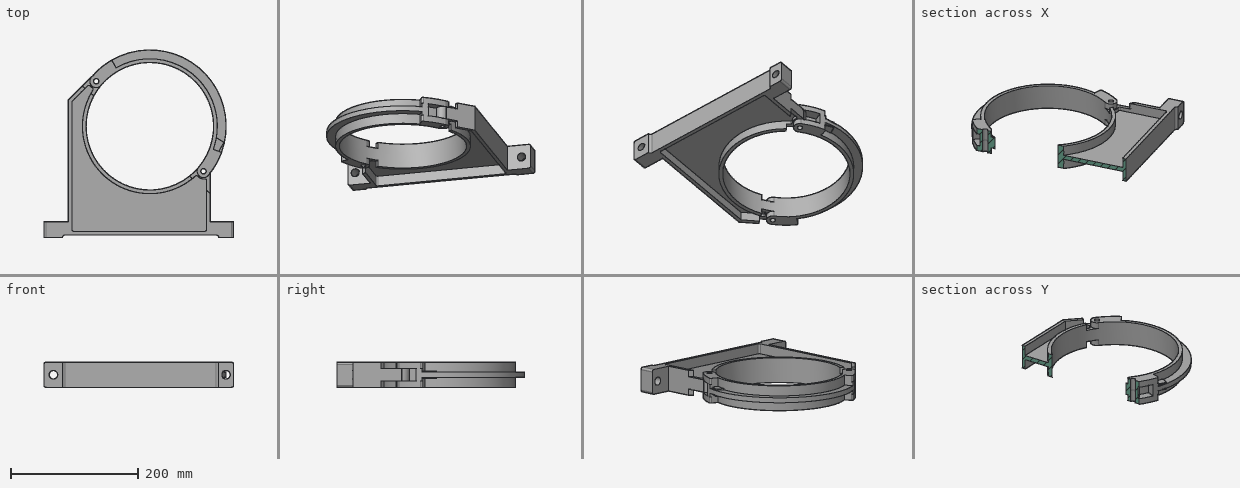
import math

import cadquery as cq


THICKNESS = 40.0
LUG_THICKNESS = 10.0
TONGUE_THICKNESS = THICKNESS - 2 * LUG_THICKNESS
WEB_THICKNESS = 8.0

BORE_RADIUS = 100.0
WALL = 6.0
RING_RADIUS = BORE_RADIUS + WALL
FLANGE_RADIUS = 120.0
HINGE_RADIUS = (BORE_RADIUS + FLANGE_RADIUS) / 2
LUG_END_RADIUS = (FLANGE_RADIUS - BORE_RADIUS) / 2
LUG_CORNER_FILLET = 2.5
PIN_DIAMETER = 8.0
POCKET_BOSS_RADIUS = 12.0

LEFT_HINGE_ANGLE = 140.0
RIGHT_HINGE_ANGLE = LEFT_HINGE_ANGLE - 180.0
LUG_SPAN = 20.0
SLOT_SPAN = 15.0
LUG_CLEARANCE = 20.0

BLOCK_ANGLE = -30.0
BLOCK_INNER = 100.0
BLOCK_OUTER = 113.5
BLOCK_START = 13.0
BLOCK_END = 36.5
BLOCK_THICKNESS = 12.0

BASE_LEFT = -128.5
BASE_RIGHT = 95.0
SLOPE_NORMAL_ANGLE = 135.0
FOOT_BOTTOM = -175.0
FOOT_HEIGHT = 25.0
FOOT_LEFT = -166.5
FOOT_LENGTH = 298.1
FOOT_RIGHT = FOOT_LEFT + FOOT_LENGTH
FOOT_RELIEF = 4.0
LEFT_PAD_LENGTH = 29.4
RIGHT_PAD_LENGTH = 23.5
FOOT_END_FILLET = 3.5
BOLT_DIAMETER = 13.0
LEFT_BOLT_X = -151.5
RIGHT_BOLT_X = 119.6
POCKET_FILLET = 2.5

BASE_BOTTOM = FOOT_BOTTOM + FOOT_RELIEF
FOOT_TOP = FOOT_BOTTOM + FOOT_HEIGHT
FAR = 2 * FLANGE_RADIUS


def polar(radius, angle):
    """Point at a radius and an angle in degrees around the bore."""
    return (radius * math.cos(math.radians(angle)), radius * math.sin(math.radians(angle)))


def slab(sketch, height):
    """Extrude a sketch to a height centred on Z = 0."""
    return sketch.extrude(height / 2, both=True)


def disc(radius, height, center=(0, 0)):
    return slab(cq.Workplane("XY").center(*center).circle(radius), height)


def sector(inner, outer, start, end, height):
    """Part of a ring between two angles, start < end."""
    middle = (start + end) / 2
    outline = (
        cq.Workplane("XY")
        .moveTo(*polar(inner, start))
        .lineTo(*polar(outer, start))
        .threePointArc(polar(outer, middle), polar(outer, end))
        .lineTo(*polar(inner, end))
        .threePointArc(polar(inner, middle), polar(inner, start))
        .close()
    )
    return slab(outline, height)


def below_pin_line(depth, height):
    """Half space on the base side of the pin line, starting at a depth below that line."""
    return (
        cq.Workplane("XY")
        .box(2 * FAR, FAR, height)
        .translate((0, -FAR / 2 - depth, 0))
        .rotate((0, 0, 0), (0, 0, 1), RIGHT_HINGE_ANGLE)
    )


def slope_y(x, radius):
    """Height at x of the sloped line tangent to a circle of the given radius."""
    normal_x, normal_y = polar(1, SLOPE_NORMAL_ANGLE)
    return (radius - normal_x * x) / normal_y


LEFT_HINGE = polar(HINGE_RADIUS, LEFT_HINGE_ANGLE)
RIGHT_HINGE = polar(HINGE_RADIUS, RIGHT_HINGE_ANGLE)
HINGES = (LEFT_HINGE, RIGHT_HINGE)


def base_body():
    """Bracket plate up to the pin line, with rounded tongues that enter the lugs."""
    slope_end_radius = FLANGE_RADIUS / math.cos(math.radians(LEFT_HINGE_ANGLE - SLOPE_NORMAL_ANGLE))
    right_top = -math.sqrt(FLANGE_RADIUS**2 - BASE_RIGHT**2)
    outline = [
        (BASE_LEFT, BASE_BOTTOM),
        (BASE_RIGHT, BASE_BOTTOM),
        (BASE_RIGHT, right_top),
        RIGHT_HINGE,
        polar(slope_end_radius, LEFT_HINGE_ANGLE),
        (BASE_LEFT, slope_y(BASE_LEFT, FLANGE_RADIUS)),
    ]
    full = slab(cq.Workplane("XY").polyline(outline).close(), THICKNESS)
    full = full.intersect(below_pin_line(LUG_CLEARANCE, THICKNESS))
    body = full.union(slab(cq.Workplane("XY").polyline(outline).close(), TONGUE_THICKNESS))
    for hinge in HINGES:
        body = body.union(disc(LUG_END_RADIUS, TONGUE_THICKNESS, hinge))
    return body


def pocket():
    """Recess removed from both faces of the base, leaving the web between them."""
    left = BASE_LEFT + WALL
    right = BASE_RIGHT - WALL
    bottom = BASE_BOTTOM + WALL
    inner_slope = FLANGE_RADIUS - WALL
    outline = [
        (left, bottom),
        (right, bottom),
        (right, 0),
        (0, slope_y(0, inner_slope)),
        (left, slope_y(left, inner_slope)),
    ]
    area = slab(cq.Workplane("XY").polyline(outline).close(), THICKNESS)
    area = area.intersect(below_pin_line(0, THICKNESS)).cut(disc(RING_RADIUS, THICKNESS))
    for hinge in HINGES:
        area = area.cut(disc(POCKET_BOSS_RADIUS, THICKNESS, hinge))
    slope_corner = cq.selectors.NearestToPointSelector((left, slope_y(left, inner_slope), 0))
    corners = cq.selectors.SubtractSelector(cq.selectors.StringSyntaxSelector("|Z"), slope_corner)
    area = area.edges(corners).fillet(POCKET_FILLET)
    return area.cut(cq.Workplane("XY").box(2 * FAR, 2 * FAR, WEB_THICKNESS))


def feet():
    """Cross bar with rounded ends, a relieved underside between its pads and two bolt holes."""
    left_pad_end = FOOT_LEFT + LEFT_PAD_LENGTH
    right_pad_end = FOOT_RIGHT - RIGHT_PAD_LENGTH
    bar = (
        cq.Workplane("XY")
        .box(FOOT_LENGTH, FOOT_HEIGHT, THICKNESS)
        .translate(((FOOT_LEFT + FOOT_RIGHT) / 2, FOOT_BOTTOM + FOOT_HEIGHT / 2, 0))
        .edges("|Y")
        .fillet(FOOT_END_FILLET)
    )
    corner_offset = FOOT_RELIEF * (1 - math.sqrt(0.5))
    relief = (
        cq.Workplane("XY")
        .moveTo(left_pad_end, FOOT_BOTTOM)
        .threePointArc(
            (left_pad_end + corner_offset, BASE_BOTTOM - corner_offset),
            (left_pad_end + FOOT_RELIEF, BASE_BOTTOM),
        )
        .lineTo(right_pad_end - FOOT_RELIEF, BASE_BOTTOM)
        .threePointArc(
            (right_pad_end - corner_offset, BASE_BOTTOM - corner_offset),
            (right_pad_end, FOOT_BOTTOM),
        )
        .close()
    )
    bolts = (
        cq.Workplane("XZ", origin=(0, FOOT_TOP, 0))
        .pushPoints([(LEFT_BOLT_X, 0), (RIGHT_BOLT_X, 0)])
        .circle(BOLT_DIAMETER / 2)
        .extrude(FOOT_HEIGHT)
    )
    return bar.cut(slab(relief, THICKNESS)).cut(bolts)


def base():
    return base_body().union(feet()).cut(pocket()).cut(disc(BORE_RADIUS, THICKNESS))


def lug_pair(hinge, start, end, cover_angle):
    """Upper and lower hinge lugs, rounded around the pin and at the outer corner on the cover side."""
    outer_corner = cq.selectors.NearestToPointSelector((*polar(FLANGE_RADIUS, cover_angle), 0))
    lugs = sector(BORE_RADIUS, FLANGE_RADIUS, start, end, THICKNESS)
    lugs = lugs.edges(outer_corner).fillet(LUG_CORNER_FILLET)
    lugs = lugs.union(disc(LUG_END_RADIUS, THICKNESS, hinge))
    return lugs.cut(cq.Workplane("XY").box(2 * FAR, 2 * FAR, TONGUE_THICKNESS))


def stop_block():
    """Straight-sided block beside the right lugs that runs out over the flange."""
    return (
        cq.Workplane("XY")
        .box(BLOCK_OUTER - BLOCK_INNER, BLOCK_END - BLOCK_START, BLOCK_THICKNESS)
        .translate(((BLOCK_INNER + BLOCK_OUTER) / 2, (BLOCK_START + BLOCK_END) / 2, 0))
        .rotate((0, 0, 0), (0, 0, 1), BLOCK_ANGLE)
        .cut(disc(BORE_RADIUS, THICKNESS))
    )


def cover():
    """Half ring with its outer flange, the lugs and the solid ends of the lug slots."""
    left_lug_end = LEFT_HINGE_ANGLE - LUG_SPAN
    left_slot_end = LEFT_HINGE_ANGLE - SLOT_SPAN
    right_lug_end = RIGHT_HINGE_ANGLE + LUG_SPAN
    right_slot_end = RIGHT_HINGE_ANGLE + SLOT_SPAN
    slot_end_sectors = ((left_lug_end, left_slot_end), (right_slot_end, right_lug_end))

    ring = sector(BORE_RADIUS, RING_RADIUS, right_lug_end, left_lug_end, THICKNESS)
    slot_wall = sector(BORE_RADIUS, RING_RADIUS, RIGHT_HINGE_ANGLE, LEFT_HINGE_ANGLE, TONGUE_THICKNESS)
    flange = sector(BORE_RADIUS, FLANGE_RADIUS, right_lug_end, left_lug_end, WEB_THICKNESS)
    half = ring.union(slot_wall).union(flange)
    for start, end in slot_end_sectors:
        half = half.union(sector(BORE_RADIUS, FLANGE_RADIUS, start, end, TONGUE_THICKNESS))
    half = half.union(lug_pair(LEFT_HINGE, left_lug_end, LEFT_HINGE_ANGLE, left_lug_end))
    half = half.union(lug_pair(RIGHT_HINGE, RIGHT_HINGE_ANGLE, right_lug_end, right_lug_end))
    return half.union(stop_block())


result = base().union(cover())
for hinge in HINGES:
    result = result.cut(disc(PIN_DIAMETER / 2, THICKNESS, hinge))